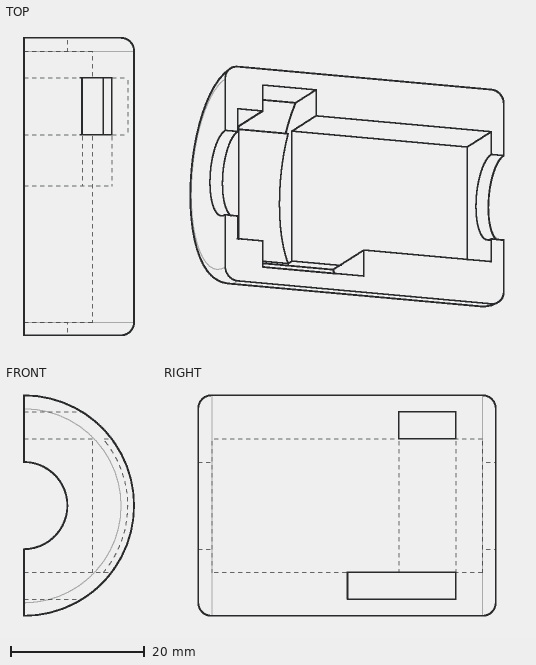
import cadquery as cq

OUTER_RADIUS = 16.5
LENGTH = 44.5
END_FILLET = 2.0

END_WALL = 2.0
POCKET_HALF_HEIGHT = 10.0
POCKET_DEPTH = 10.2

BORE_RADIUS = 6.5

SKIN_THICKNESS = 1.0
SLOT_INSET = 6.0
GROOVE_WIDTH = 8.5
LOWER_SLOT_WIDTH = 16.15
SLOT_HEIGHT = 4.0

half_length = LENGTH / 2
groove_radius = OUTER_RADIUS - SKIN_THICKNESS
slot_end_y = half_length - SLOT_INSET
groove_start_y = slot_end_y - GROOVE_WIDTH
lower_slot_start_y = slot_end_y - LOWER_SLOT_WIDTH
slot_outer_z = POCKET_HALF_HEIGHT + SLOT_HEIGHT


def box(x_range, y_range, z_range):
    """Box spanning the given (low, high) range on each axis."""
    lows, highs = zip(x_range, y_range, z_range)
    sizes = [high - low for low, high in zip(lows, highs)]
    return cq.Workplane("XY").box(*sizes, centered=False).translate(lows)


def cylinder(radius, y_start, y_end):
    """Cylinder on the Y axis between two Y positions."""
    return cq.Workplane("XZ", origin=(0, y_end, 0)).circle(radius).extrude(y_end - y_start)


def make_body():
    """Cylinder with rounded ends, halved along its axis."""
    full = cylinder(OUTER_RADIUS, -half_length, half_length).edges("%CIRCLE").fillet(END_FILLET)
    positive_x_half = box(
        (0, OUTER_RADIUS),
        (-half_length, half_length),
        (-OUTER_RADIUS, OUTER_RADIUS),
    )
    return full.intersect(positive_x_half)


def make_pocket():
    """Main pocket between the two end walls."""
    pocket_end_y = half_length - END_WALL
    return box(
        (0, POCKET_DEPTH),
        (-pocket_end_y, pocket_end_y),
        (-POCKET_HALF_HEIGHT, POCKET_HALF_HEIGHT),
    )


def make_end_opening(side):
    """Round opening through the end wall on the given side (+1 or -1) of Y."""
    wall_faces = sorted((side * half_length, side * (half_length - END_WALL)))
    return cylinder(BORE_RADIUS, *wall_faces)


def make_groove():
    """Deep band of the pocket whose floor follows the outer surface."""
    band = box(
        (0, OUTER_RADIUS),
        (groove_start_y, slot_end_y),
        (-POCKET_HALF_HEIGHT, POCKET_HALF_HEIGHT),
    )
    return cylinder(groove_radius, groove_start_y, slot_end_y).intersect(band)


def make_side_slots():
    """Slots above and below the pocket that break out through the round surface."""
    upper = box(
        (0, OUTER_RADIUS),
        (groove_start_y, slot_end_y),
        (POCKET_HALF_HEIGHT, slot_outer_z),
    )
    lower = box(
        (0, OUTER_RADIUS),
        (lower_slot_start_y, slot_end_y),
        (-slot_outer_z, -POCKET_HALF_HEIGHT),
    )
    return upper, lower


body = make_body().cut(make_pocket()).cut(make_groove())
for side in (-1, 1):
    body = body.cut(make_end_opening(side))
for slot in make_side_slots():
    body = body.cut(slot)

result = body